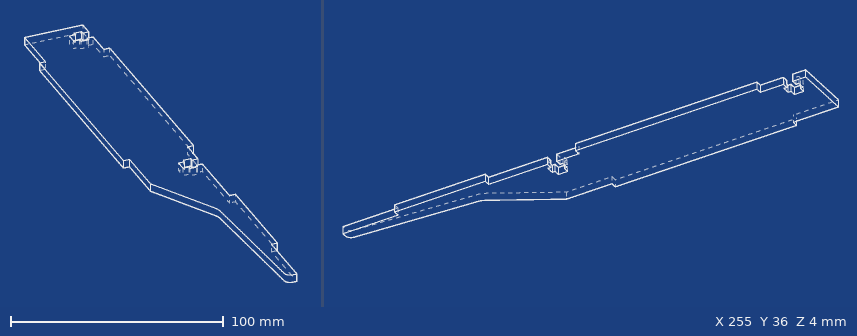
import cadquery as cq

length = 255.0
overall_width = 36.0
thickness = 4.0
tab_height = 3.0
body_width = overall_width - 2 * tab_height

body_tab_start = 25.0
body_tab_length = 100.0
arm_tab_start = 174.7
arm_tab_length = 50.0

slope_start = 150.0
knee_x = 184.5
knee_depth = 10.0
tip_width = 5.0
knee_radius = 8.2
tip_radius = 3.0

slot_centers = (9.7, 139.7)
slot_width = 5.0
slot_depth = 10.0
nut_width = 8.2
nut_top_depth = 3.0
nut_height = 3.8


def make_block(x_start, y_start, x_size, y_size):
    """Full-thickness rectangular block placed by its lower left corner."""
    return cq.Workplane("XY").box(x_size, y_size, thickness, centered=False).translate((x_start, y_start, 0))


def make_body():
    """Wide plate narrowing to an arm with a rounded knee and tip."""
    knee_y = body_width - knee_depth
    tip_y = body_width - tip_width
    outline = [
        (0, 0),
        (slope_start, 0),
        (knee_x, knee_y),
        (length, tip_y),
        (length, body_width),
        (0, body_width),
    ]
    body = cq.Workplane("XY").polyline(outline).close().extrude(thickness)
    mid_height = thickness / 2
    body = body.edges(cq.selectors.NearestToPointSelector((knee_x, knee_y, mid_height))).fillet(knee_radius)
    return body.edges(cq.selectors.NearestToPointSelector((length, tip_y, mid_height))).fillet(tip_radius)


def make_slot(center_x):
    """Narrow screw slot crossed by a wider nut pocket."""
    screw = make_block(center_x - slot_width / 2, body_width - slot_depth, slot_width, slot_depth)
    nut_y = body_width - nut_top_depth - nut_height
    nut = make_block(center_x - nut_width / 2, nut_y, nut_width, nut_height)
    return screw.union(nut)


result = make_body()

for tab_start, tab_y, tab_length in (
    (body_tab_start, body_width, body_tab_length),
    (body_tab_start, -tab_height, body_tab_length),
    (arm_tab_start, body_width, arm_tab_length),
):
    result = result.union(make_block(tab_start, tab_y, tab_length, tab_height))

for slot_center in slot_centers:
    result = result.cut(make_slot(slot_center))